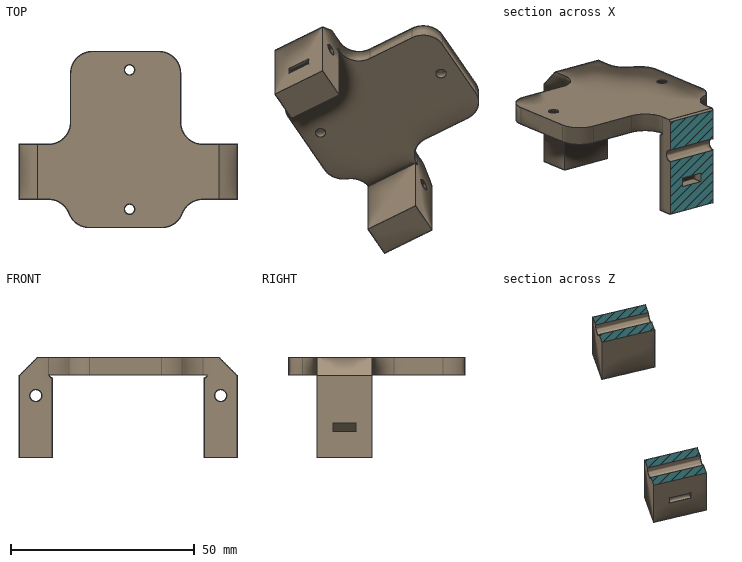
import cadquery as cq
import math

length = 59.3
depth = 48.0
height = 27.3

plate_thickness = 4.8
body_width = 30.0
body_center_x = -0.7
blend_radius = 6.0
arm_width = 15.0
arm_front_offset = 7.7

plate_hole_diameter = 2.7
plate_hole_x = 0.35
plate_hole_edge_distance = 5.05

leg_thickness = 9.0
shoulder_chamfer = 5.0
relief_radius = 0.8
leg_hole_diameter = 3.2
leg_hole_drop = 10.4

slot_width = 6.15
slot_height = 2.3
slot_base = 7.2
slot_depth = leg_thickness / 2 + slot_width / 2

half_length = length / 2
front_y = -depth / 2
back_y = depth / 2
arm_front_y = front_y + arm_front_offset
arm_back_y = arm_front_y + arm_width
arm_center_y = (arm_front_y + arm_back_y) / 2
underside_z = height - plate_thickness
leg_inner_x = half_length - leg_thickness
leg_center_x = half_length - leg_thickness / 2


def box(x_min, x_max, y_min, y_max, z_min, z_max):
    return (
        cq.Workplane("XY")
        .box(x_max - x_min, y_max - y_min, z_max - z_min, centered=False)
        .translate((x_min, y_min, z_min))
    )


def make_body():
    """Plate body with rounded corners and concave blends into the arm."""
    r = blend_radius
    diagonal = r * math.sqrt(0.5)
    side = body_width / 2
    blend_x = side + r
    rise = 2 * r - arm_front_offset
    corner_x = blend_x - math.sqrt((2 * r) ** 2 - rise ** 2)
    meeting = ((corner_x + blend_x) / 2, (front_y + arm_front_y) / 2)
    turn = math.acos(rise / (2 * r)) / 2
    arc_x = r * math.sin(turn)
    arc_y = r * (1 - math.cos(turn))
    half = (
        cq.Workplane("XY", origin=(body_center_x, 0, underside_z))
        .moveTo(0, front_y)
        .lineTo(corner_x, front_y)
        .threePointArc((corner_x + arc_x, front_y + arc_y), meeting)
        .threePointArc((blend_x - arc_x, arm_front_y - arc_y), (blend_x, arm_front_y))
        .lineTo(blend_x, arm_back_y)
        .threePointArc((blend_x - diagonal, arm_back_y + r - diagonal), (side, arm_back_y + r))
        .lineTo(side, back_y - r)
        .threePointArc((side - r + diagonal, back_y - r + diagonal), (side - r, back_y))
        .lineTo(0, back_y)
        .close()
        .extrude(plate_thickness)
    )
    other_half = half.mirror("YZ", basePointVector=(body_center_x, 0, 0))
    return half.union(other_half)


def make_frame():
    """Arm and two legs with chamfered outer shoulders."""
    frame = box(-half_length, half_length, arm_front_y, arm_back_y, 0, height)
    frame = frame.edges("|Y and >Z").chamfer(shoulder_chamfer)
    opening = box(-leg_inner_x, leg_inner_x, arm_front_y, arm_back_y, 0, underside_z)
    return frame.cut(opening)


def y_cylinder(x, z, radius):
    """Cylinder crossing the full width of the arm."""
    return (
        cq.Workplane("XZ", origin=(x, arm_back_y, z))
        .circle(radius)
        .extrude(arm_width)
    )


def cut_leg_details(bracket, side):
    """Cut the hole, slot and inner corner relief of one leg; side is -1 or 1."""
    hole = y_cylinder(side * leg_center_x, height - leg_hole_drop, leg_hole_diameter / 2)
    below_plate = box(-half_length, half_length, arm_front_y, arm_back_y, 0, underside_z)
    relief = y_cylinder(side * leg_inner_x, underside_z, relief_radius).intersect(below_plate)
    slot = cq.Workplane("XY").box(slot_depth, slot_width, slot_height).translate(
        (side * (half_length - slot_depth / 2), arm_center_y, slot_base + slot_height / 2)
    )
    return bracket.cut(hole).cut(relief).cut(slot)


def cut_plate_holes(bracket):
    hole_y = back_y - plate_hole_edge_distance
    holes = (
        cq.Workplane("XY", origin=(0, 0, underside_z))
        .pushPoints([(plate_hole_x, -hole_y), (plate_hole_x, hole_y)])
        .circle(plate_hole_diameter / 2)
        .extrude(plate_thickness)
    )
    return bracket.cut(holes)


result = make_frame().union(make_body()).clean()
for leg_side in (-1, 1):
    result = cut_leg_details(result, leg_side)
result = cut_plate_holes(result)